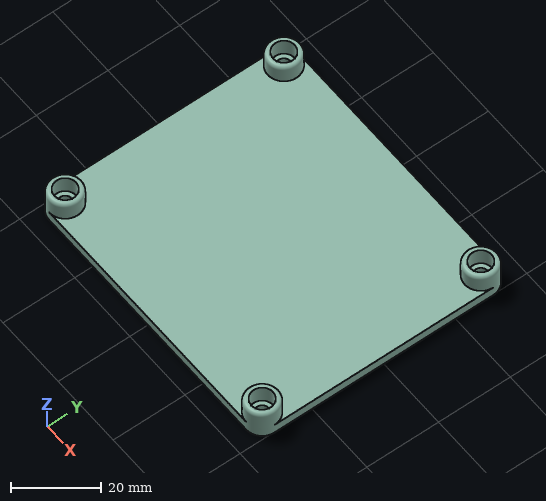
import cadquery as cq

length = 80.5
width = 70.0
total_height = 8.0

plate_thickness = 3.0
boss_diameter = 9.0
boss_edge_fillet = 1.0

screw_hole_diameter = 3.5
head_recess_diameter = 6.0

corner_radius = boss_diameter / 2
boss_height = total_height - plate_thickness
head_recess_depth = boss_height
boss_spacing_x = length - boss_diameter
boss_spacing_y = width - boss_diameter


def make_plate():
    """Flat plate with rounded corners, its underside at Z = 0."""
    plate = cq.Workplane("XY").rect(length, width).extrude(plate_thickness)
    return plate.edges("|Z").fillet(corner_radius)


def at_boss_centers(height):
    """Workplane at the given height with a point on every boss axis."""
    plane = cq.Workplane("XY").workplane(offset=height)
    return plane.rect(boss_spacing_x, boss_spacing_y, forConstruction=True).vertices()


def make_bosses():
    """Round corner bosses standing on the plate, with rounded top edges."""
    bosses = at_boss_centers(plate_thickness).circle(boss_diameter / 2).extrude(boss_height)
    return bosses.faces(">Z").edges().fillet(boss_edge_fillet)


def make_screw_holes():
    """Cutting bodies: a through hole with a wider screw head recess from the top."""
    shanks = at_boss_centers(0).circle(screw_hole_diameter / 2).extrude(total_height)
    recess_floor = total_height - head_recess_depth
    recesses = at_boss_centers(recess_floor).circle(head_recess_diameter / 2).extrude(head_recess_depth)
    return shanks.union(recesses)


result = make_plate().union(make_bosses()).cut(make_screw_holes())